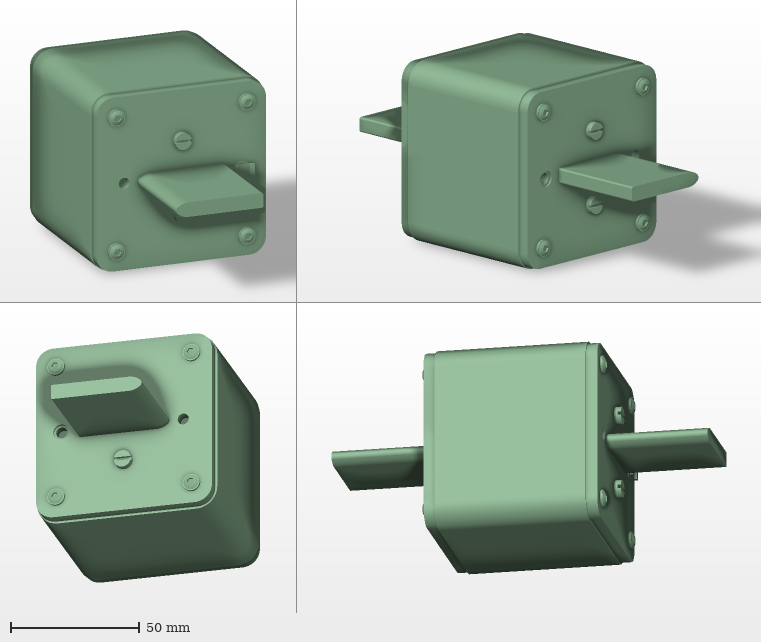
import cadquery as cq
import math


overall_length = 150.0
body_size = 73.0
body_length = 60.3
body_corner_radius = 8.5
cap_step = 0.9
cap_size = body_size - 2 * cap_step
cap_thickness = 4.5
cap_corner_radius = 6.9
cap_face_x = body_length / 2 + cap_thickness

blade_width = 36.8
blade_thickness = 6.0
blade_edge_round = 0.8
nose_length = 5.1
nose_taper_radius = 6.8
nose_taper_end_z = 1.6
nose_tip_start_z = 1.2

corner_screw_offset = 27.5
corner_screw_radius = 3.5
corner_screw_height = 2.1
corner_screw_rim_height = 1.0
corner_screw_dome_radius = 3.0
socket_corner_diameter = 3.2
socket_depth = 1.2

slot_screw_offset = 15.0
slot_screw_radius = 3.5
slot_screw_height = 2.7
slot_width = 1.4
slot_depth = 1.4

plain_hole_y = -24.0
plain_hole_radius = 2.2
stepped_hole_y = 25.5
stepped_hole_radius = 2.2
counterbore_radius = 3.2
counterbore_depth = 0.9

flange_radius = 3.3
flange_height = 0.5
stem_radius = 1.4
tab_bottom = 1.0
tab_top = 1.5
tab_width = 4.5
tab_start_y = 22.2
tab_end_y = 30.0
inner_lip_length = 0.9
inner_lip_top = 2.1
outer_lip_length = 2.1
outer_lip_top = 2.5


def rounded_block(length, size, corner_radius):
    """Square bar along X, centred on the origin, with rounded long edges."""
    return cq.Workplane("XY").box(length, size, size).edges("|X").fillet(corner_radius)


def make_blade():
    """Blade along the full length: flat faces curve in to narrow flats and a small rounded tip on -Y."""
    half_width = blade_width / 2
    half_thickness = blade_thickness / 2
    nose_start_y = -half_width + nose_length
    arc_centre_z = half_thickness - nose_taper_radius

    def taper_y(z):
        return nose_start_y - math.sqrt(nose_taper_radius**2 - (z - arc_centre_z) ** 2)

    taper_mid_z = (half_thickness + nose_taper_end_z) / 2
    taper_mid_y = taper_y(taper_mid_z)
    taper_end_y = taper_y(nose_taper_end_z)
    flat_slope = (nose_taper_end_z - arc_centre_z) / (nose_start_y - taper_end_y)
    tip_start_y = taper_end_y - flat_slope * (nose_taper_end_z - nose_tip_start_z)
    profile = (
        cq.Workplane("YZ", origin=(-overall_length / 2, 0, 0))
        .moveTo(half_width, half_thickness)
        .lineTo(nose_start_y, half_thickness)
        .threePointArc((taper_mid_y, taper_mid_z), (taper_end_y, nose_taper_end_z))
        .lineTo(tip_start_y, nose_tip_start_z)
        .threePointArc((-half_width, 0), (tip_start_y, -nose_tip_start_z))
        .lineTo(taper_end_y, -nose_taper_end_z)
        .threePointArc((taper_mid_y, -taper_mid_z), (nose_start_y, -half_thickness))
        .lineTo(half_width, -half_thickness)
        .close()
    )
    return profile.extrude(overall_length).edges("|X and >Y").fillet(blade_edge_round)


def cylinder_from_cap(side, y, z, radius, height):
    """Cylinder on a cap face; positive height points outward, negative inward."""
    face = cq.Workplane("YZ", origin=(side * cap_face_x, y, z))
    return face.circle(radius).extrude(side * height)


def make_corner_screw(side, y, z):
    """Low screw head: a round rim, a domed top set in from it and a hexagon socket."""
    dome_rise = corner_screw_height - corner_screw_rim_height
    sphere_radius = (corner_screw_dome_radius**2 + dome_rise**2) / (2 * dome_rise)
    dome_mid_r = corner_screw_dome_radius / 2
    dome_mid_x = corner_screw_height - sphere_radius + math.sqrt(sphere_radius**2 - dome_mid_r**2)
    head = (
        cq.Workplane("XY")
        .lineTo(0, corner_screw_radius)
        .lineTo(side * corner_screw_rim_height, corner_screw_radius)
        .lineTo(side * corner_screw_rim_height, corner_screw_dome_radius)
        .threePointArc((side * dome_mid_x, dome_mid_r), (side * corner_screw_height, 0))
        .close()
        .revolve(360, (0, 0, 0), (1, 0, 0))
    )
    socket = (
        cq.Workplane("YZ", origin=(side * corner_screw_height, 0, 0))
        .polygon(6, socket_corner_diameter)
        .extrude(-side * socket_depth)
    )
    return head.cut(socket).translate((side * cap_face_x, y, z))


def make_slot_screw(side, z):
    """Cylindrical screw head with a slot along Y."""
    head = cylinder_from_cap(side, 0, z, slot_screw_radius, slot_screw_height)
    slot_x = side * (cap_face_x + slot_screw_height - slot_depth / 2)
    slot = cq.Workplane("XY", origin=(slot_x, 0, z)).box(slot_depth, 2 * slot_screw_radius, slot_width)
    return head.cut(slot)


def indicator_plate(bottom, top, start_y, end_y):
    """Flat piece standing off the +X cap between two heights and two Y positions."""
    centre = (cap_face_x + (bottom + top) / 2, (start_y + end_y) / 2, 0)
    return cq.Workplane("XY", origin=centre).box(top - bottom, end_y - start_y, tab_width)


def make_indicator():
    flange = cylinder_from_cap(1, stepped_hole_y, 0, flange_radius, flange_height)
    stem = cylinder_from_cap(1, stepped_hole_y, 0, stem_radius, tab_top)
    tab = indicator_plate(tab_bottom, tab_top, tab_start_y, tab_end_y)
    inner_lip = indicator_plate(tab_bottom, inner_lip_top, tab_start_y, tab_start_y + inner_lip_length)
    outer_lip = indicator_plate(tab_bottom, outer_lip_top, tab_end_y - outer_lip_length, tab_end_y)
    return flange.union(stem).union(tab).union(inner_lip).union(outer_lip)


result = rounded_block(body_length, body_size, body_corner_radius)
result = result.union(rounded_block(2 * cap_face_x, cap_size, cap_corner_radius))
result = result.union(make_blade())

for side in (-1, 1):
    for z_sign in (-1, 1):
        result = result.union(make_slot_screw(side, z_sign * slot_screw_offset))
        for y_sign in (-1, 1):
            screw_y = y_sign * corner_screw_offset
            screw_z = z_sign * corner_screw_offset
            result = result.union(make_corner_screw(side, screw_y, screw_z))
    result = result.cut(cylinder_from_cap(side, plain_hole_y, 0, plain_hole_radius, -cap_thickness))

result = result.cut(cylinder_from_cap(-1, stepped_hole_y, 0, stepped_hole_radius, -cap_thickness))
result = result.cut(cylinder_from_cap(-1, stepped_hole_y, 0, counterbore_radius, -counterbore_depth))
result = result.union(make_indicator())